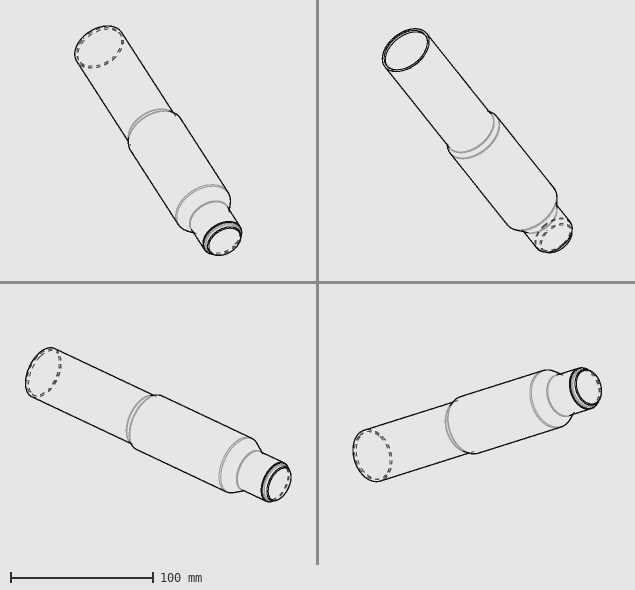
import cadquery as cq

total_length = 221.8
handle_end = 95.0
body_start = 99.4
body_end = 184.0
neck_start = 195.0
neck_end = 218.0

handle_radius = 18.9
body_radius = 20.95
neck_radius = 14.97
tip_radius = 12.9

shoulder_blend = 2.7
small_blend = 1.8
neck_chamfer = 0.5
tip_root_radius = 0.7
tip_chamfer = 0.7

recess_radius = 17.3
recess_depth = 1.8


def turned_profile():
    """Half section of the shaft, revolved about X."""
    return (
        cq.Workplane("XY")
        .lineTo(0, handle_radius)
        .lineTo(handle_end, handle_radius)
        .lineTo(body_start, body_radius)
        .lineTo(body_end, body_radius)
        .lineTo(neck_start, neck_radius)
        .lineTo(neck_end - neck_chamfer, neck_radius)
        .lineTo(neck_end, neck_radius - neck_chamfer)
        .lineTo(neck_end, tip_radius + tip_root_radius)
        .radiusArc((neck_end + tip_root_radius, tip_radius), -tip_root_radius)
        .lineTo(total_length - tip_chamfer, tip_radius)
        .lineTo(total_length, tip_radius - tip_chamfer)
        .lineTo(total_length, 0)
        .close()
    )


def blend_edge(shaft, position, radius):
    """Round the circular edge of the shaft that lies at the given X position."""
    half_width = 0.1
    reach = 2 * body_radius
    edge_box = cq.selectors.BoxSelector(
        (position - half_width, -reach, -reach),
        (position + half_width, reach, reach),
        boundingbox=True,
    )
    return shaft.edges(edge_box).fillet(radius)


def end_recess():
    return cq.Workplane("YZ").circle(recess_radius).extrude(recess_depth)


shaft = turned_profile().revolve(360, (0, 0, 0), (1, 0, 0))
shaft = blend_edge(shaft, body_end, shoulder_blend)
for position in (handle_end, body_start, neck_start):
    shaft = blend_edge(shaft, position, small_blend)
result = shaft.cut(end_recess())